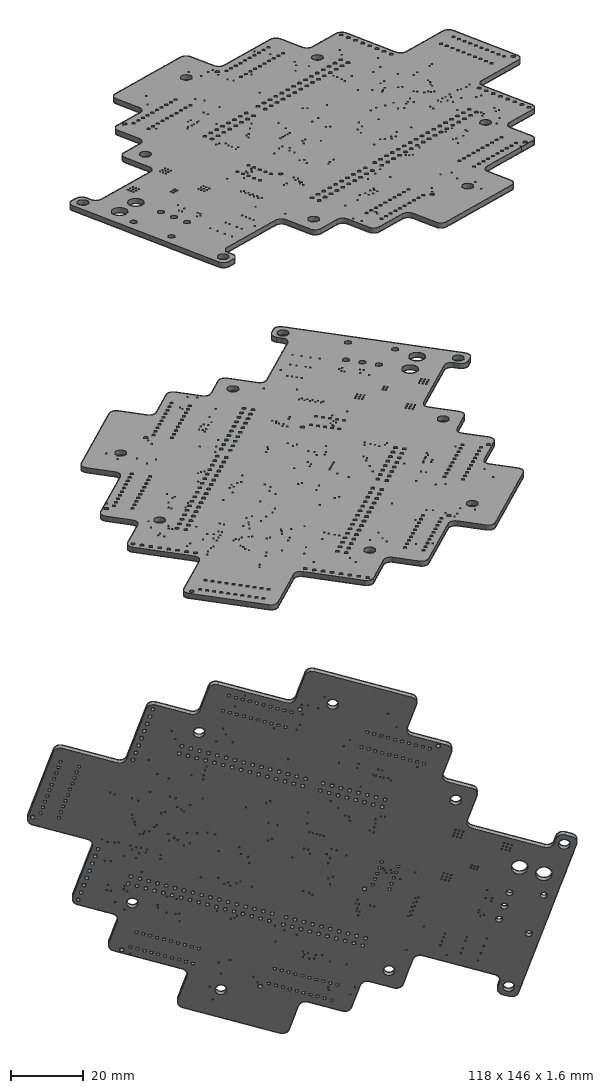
import cadquery as cq


board_length = 146.0
board_width = 118.0
board_thickness = 1.6

half_length = board_length / 2
tower_half_width = 13.5
shoulder_half_width = 35.0
shelf_half_width = 46.7
wing_half_width = board_width / 2
stem_half_width = 22.3
foot_half_width = 28.0

shoulder_top = 53.1
shelf_top = 39.0
wing_top = 15.2
wing_bottom = -17.0
shelf_bottom = -31.0
shoulder_bottom = -42.0
foot_top = -67.0

corner_radius = 2.0

jack_diameter = 4.5
mount_diameter = 3.2
terminal_diameter = 1.9
key_diameter = 1.2
wide_pin_diameter = 1.0
fine_pin_diameter = 0.85
via_diameter = 0.35

corner_mount_x = 30.0
corner_mount_y = 37.0
wing_mount_x = 50.1
wing_mount_y = 5.0
foot_mount_x = 25.0
foot_mount_y = -69.8

jack_x = -13.9
jack_top_y = -60.5
jack_spacing = 7.0

terminal_x = -0.3
terminal_y = -60.5
terminal_pitch = 4.7
terminal_count = 3
power_pin_y = -69.6
power_pin_spacing = 13.5

wide_pitch = 38.1 / 15
long_header_x = 45.7 / 2
long_header_top = 40.0
left_upper_rows = 15
left_lower_rows = 8
right_upper_rows = 17
right_lower_rows = 10
right_lower_top = -4.7
edge_header_x = 24.5
edge_header_y = 51.4
edge_header_pins = 8

fine_pitch = 20.0 / 10
socket_pins = 10
socket_row_gap = 5.3
socket_key_along = 11.0
socket_key_across = 4.2
tower_socket_y = 67.5
side_socket_x = 41.5
upper_socket_y = 24.0
lower_socket_y = -15.9

small_header_pins = 5
small_header_top = -24.0
small_header_row_gap = 4.8
small_header_key = (6.0, -22.2)

thermal_block_centers = [(-19.4, -41.0), (-4.7, -42.3), (-19.3, -55.0)]
thermal_column_pitch = 1.0
thermal_row_pitch = 1.1
narrow_block_center = (-10.1, -48.6)
narrow_block_pitch = 0.9
thermal_rows = 3
square_block_columns = 3
narrow_block_columns = 2


def pin_grid(center_x, top, columns, rows, column_pitch, row_pitch):
    """Hole centers of a grid, spread evenly about center_x and downward from top."""
    left = center_x - (columns - 1) * column_pitch / 2
    return [
        (left + column * column_pitch, top - row * row_pitch)
        for column in range(columns)
        for row in range(rows)
    ]


def pin_line(first_x, last_x, y, count):
    """Evenly spaced hole centers along X."""
    pitch = (last_x - first_x) / (count - 1)
    return [(first_x + index * pitch, y) for index in range(count)]


def make_board():
    right_side = [
        (tower_half_width, half_length),
        (tower_half_width, shoulder_top),
        (shoulder_half_width, shoulder_top),
        (shoulder_half_width, shelf_top),
        (shelf_half_width, shelf_top),
        (shelf_half_width, wing_top),
        (wing_half_width, wing_top),
        (wing_half_width, wing_bottom),
        (shelf_half_width, wing_bottom),
        (shelf_half_width, shelf_bottom),
        (shoulder_half_width, shelf_bottom),
        (shoulder_half_width, shoulder_bottom),
        (stem_half_width, shoulder_bottom),
        (stem_half_width, foot_top),
        (foot_half_width, foot_top),
        (foot_half_width, -half_length),
    ]
    left_side = [(-x, y) for x, y in reversed(right_side)]
    blank = cq.Workplane("XY").polyline(right_side + left_side).close().extrude(board_thickness)
    return blank.edges("|Z").fillet(corner_radius)


def drill(body, diameter, centers):
    """Cut through holes of one diameter."""
    drills = cq.Workplane("XY").pushPoints(centers).circle(diameter / 2).extrude(board_thickness)
    return body.cut(drills)


def mount_centers():
    right_mounts = [
        (corner_mount_x, corner_mount_y),
        (corner_mount_x, -corner_mount_y),
        (wing_mount_x, wing_mount_y),
        (foot_mount_x, foot_mount_y),
    ]
    return [(side * x, y) for side in (-1, 1) for x, y in right_mounts]


def terminal_centers():
    terminals = pin_grid(terminal_x, terminal_y, terminal_count, 1, terminal_pitch, 0)
    power_pins = pin_grid(terminal_x, power_pin_y, 2, 1, power_pin_spacing, 0)
    return terminals + power_pins


def wide_pin_centers():
    left_lower_top = long_header_top - (left_upper_rows + 1) * wide_pitch
    blocks = [
        (-long_header_x, long_header_top, 2, left_upper_rows),
        (-long_header_x, left_lower_top, 2, left_lower_rows),
        (long_header_x, long_header_top, 2, right_upper_rows),
        (long_header_x, right_lower_top, 2, right_lower_rows),
        (-edge_header_x, edge_header_y, edge_header_pins, 1),
        (edge_header_x, edge_header_y, edge_header_pins, 1),
    ]
    centers = []
    for center_x, top, columns, rows in blocks:
        centers += pin_grid(center_x, top, columns, rows, wide_pitch, wide_pitch)
    return centers


def fine_pin_centers():
    tower_top = tower_socket_y + socket_row_gap / 2
    centers = pin_grid(0, tower_top, socket_pins, 2, fine_pitch, socket_row_gap)
    for side in (-1, 1):
        for socket_y in (upper_socket_y, lower_socket_y):
            top = socket_y + (socket_pins - 1) * fine_pitch / 2
            centers += pin_grid(side * side_socket_x, top, 2, socket_pins, socket_row_gap, fine_pitch)
    centers += pin_grid(0, small_header_top, small_header_pins, 2, fine_pitch, small_header_row_gap)
    return centers


def key_centers():
    centers = [small_header_key, (socket_key_along, tower_socket_y + socket_key_across)]
    for side in (-1, 1):
        for socket_y in (upper_socket_y, lower_socket_y):
            key_x = side * (side_socket_x + socket_key_across)
            centers.append((key_x, socket_y + side * socket_key_along))
    return centers


def thermal_block(center, columns, column_pitch, row_pitch):
    center_x, center_y = center
    top = center_y + (thermal_rows - 1) * row_pitch / 2
    return pin_grid(center_x, top, columns, thermal_rows, column_pitch, row_pitch)


def thermal_via_centers():
    centers = thermal_block(
        narrow_block_center, narrow_block_columns, narrow_block_pitch, narrow_block_pitch
    )
    for center in thermal_block_centers:
        centers += thermal_block(center, square_block_columns, thermal_column_pitch, thermal_row_pitch)
    return centers


via_column = pin_grid(-7.5, -2.0, 1, 5, 0, 1.0)
via_runs = (
    via_column
    + pin_line(4.7, 11.0, -36.4, 5)
    + pin_line(4.2, 10.4, -37.1, 5)
    + pin_line(13.5, 17.5, -47.7, 4)
    + pin_line(11.5, 19.3, -59.1, 4)
)

left_vias = [
    (-28.0, 44.2), (-25.8, 42.5), (-28.5, 31.5), (-33.1, 31.1), (-41.2, 30.2), (-31.5, 29.8),
    (-45.5, 28.8), (-29.6, 27.2), (-37.5, 17.8), (-47.3, 13.0), (-44.4, 11.8), (-39.0, 11.8),
    (-47.6, 11.4), (-40.7, 11.4), (-28.9, 11.0), (-47.6, 8.3), (-51.7, 7.9), (-37.7, -2.2),
    (-32.0, -2.6), (-40.2, -3.2), (-33.3, -7.9), (-31.8, -7.9), (-51.7, -10.4), (-26.3, -10.8),
    (-31.1, -12.7), (-31.0, -13.6), (-33.1, -13.6), (-33.1, -14.7), (-48.2, -14.0), (-31.0, -14.9),
    (-31.0, -15.8), (-31.2, -17.1), (-30.7, -18.0), (-37.2, -23.5),
]

upper_middle_vias = [
    (-3.4, 54.0), (-3.0, 52.7), (12.3, 51.4), (12.5, 49.6), (18.8, 48.5), (-3.4, 47.7), (12.3, 47.7),
    (-17.0, 47.3), (18.4, 46.9), (11.8, 46.7), (1.9, 46.0), (-3.0, 45.8), (3.0, 45.5), (4.0, 44.7),
    (4.8, 44.2), (15.6, 43.8), (-13.1, 43.7), (-6.9, 43.7), (11.8, 43.4), (13.0, 42.5), (7.5, 42.0),
    (11.8, 41.6), (7.0, 41.2), (6.1, 41.0), (11.7, 40.3), (13.6, 40.3), (15.3, 40.6), (-12.7, 40.2),
    (5.7, 39.9), (4.0, 39.0), (3.0, 38.5), (-1.0, 38.5), (11.7, 38.5), (12.7, 38.5), (-7.0, 38.0),
    (-1.8, 37.7), (19.3, 37.7), (-7.0, 36.4), (-4.4, 35.0), (-15.8, 34.6), (5.0, 34.6), (12.3, 34.5),
    (13.6, 34.2), (-4.0, 33.7), (-3.5, 32.8), (7.0, 33.7), (5.7, 32.7), (-19.7, 31.5), (-18.4, 31.5),
    (-6.1, 31.8), (6.1, 31.5), (-16.6, 31.4), (-15.3, 31.1), (3.0, 29.8), (-9.2, 29.3), (7.3, 29.3),
    (6.1, 28.0), (2.3, 27.2), (1.3, 24.5), (1.2, 22.3), (16.0, 21.8), (6.1, 19.7), (-10.1, 17.1),
    (14.7, 17.1), (16.2, 14.9), (3.2, 14.7), (15.3, 14.0), (5.3, 13.6), (16.2, 13.1), (-13.0, 12.3),
    (14.9, 11.8), (-14.0, 11.4), (5.5, 11.4), (14.0, 11.0), (7.5, 10.5), (-7.0, 9.6), (-1.3, 7.9),
    (14.7, 7.5), (-7.0, 7.0), (-2.2, 7.0), (-13.6, 0.5),
]

lower_middle_vias = [
    (2.0, -0.1), (-10.1, -0.6), (-1.8, -2.3), (-1.8, -3.5), (-19.1, -4.4), (-0.6, -4.4), (11.8, -6.4),
    (-17.5, -7.0), (11.8, -8.2), (12.3, -9.2), (-1.9, -8.8), (-15.8, -9.6), (-4.0, -9.5), (-0.9, -10.1),
    (0.9, -10.1), (-15.6, -10.8), (-4.0, -11.0), (-14.5, -11.4), (5.7, -11.7), (4.8, -12.7), (7.5, -12.7),
    (-3.0, -14.0), (-13.0, -17.5), (-17.1, -18.0), (-15.8, -18.4), (-14.5, -18.4), (-12.7, -18.8),
    (-18.4, -19.1), (-18.7, -20.1), (10.1, -21.5), (11.4, -21.3), (11.4, -22.3), (12.7, -22.3), (13.6, -22.3),
    (13.7, -23.2), (14.9, -23.2), (-2.2, -25.0), (10.8, -25.4), (-1.6, -25.5), (-0.9, -26.3), (10.8, -26.5),
    (-2.2, -27.2), (-1.3, -27.6), (-0.1, -30.5), (-3.5, -33.7),
]

right_vias = [
    (26.3, 45.1), (28.0, 45.0), (27.9, 43.8), (31.1, 41.5), (25.3, 40.7), (26.3, 40.6), (26.7, 39.4),
    (32.7, 38.4), (46.3, 32.3), (28.5, 30.1), (29.3, 29.8), (25.0, 28.5), (30.2, 27.0), (25.0, 25.8),
    (29.8, 24.5), (29.3, 23.7), (31.8, 22.8), (25.4, 14.0), (26.7, 9.6), (26.1, 8.8), (25.3, 8.3),
    (41.6, 8.3), (50.1, 8.2), (45.0, 6.5), (53.9, 6.1), (39.9, 5.5), (43.2, -2.2), (25.3, -2.6),
    (44.7, -3.8), (30.2, -4.4), (25.8, -5.5), (26.3, -9.2), (31.1, -12.5), (31.8, -13.1), (32.8, -13.1),
    (31.1, -14.0), (32.8, -14.9), (31.1, -16.2), (32.4, -16.2), (30.7, -18.0), (32.0, -20.6),
    (40.3, -22.8), (41.2, -23.2), (31.5, -25.3), (40.7, -29.3), (38.1, -29.8),
]

stem_vias = [
    (21.9, -39.4), (13.0, -41.5), (20.1, -50.4), (12.7, -53.9), (14.0, -53.9), (16.6, -53.9), (18.4, -53.9),
    (-4.0, -54.3), (-1.3, -54.8), (3.0, -54.3), (4.0, -54.3), (4.8, -55.2), (4.2, -56.0), (-1.8, -56.5),
    (-0.7, -56.5),
]

routing_vias = via_runs + left_vias + upper_middle_vias + lower_middle_vias + right_vias + stem_vias

jack_centers = [(jack_x, jack_top_y), (jack_x, jack_top_y - jack_spacing)]

result = make_board()
result = drill(result, mount_diameter, mount_centers())
result = drill(result, jack_diameter, jack_centers)
result = drill(result, terminal_diameter, terminal_centers())
result = drill(result, key_diameter, key_centers())
result = drill(result, wide_pin_diameter, wide_pin_centers())
result = drill(result, fine_pin_diameter, fine_pin_centers())
result = drill(result, via_diameter, routing_vias + thermal_via_centers())